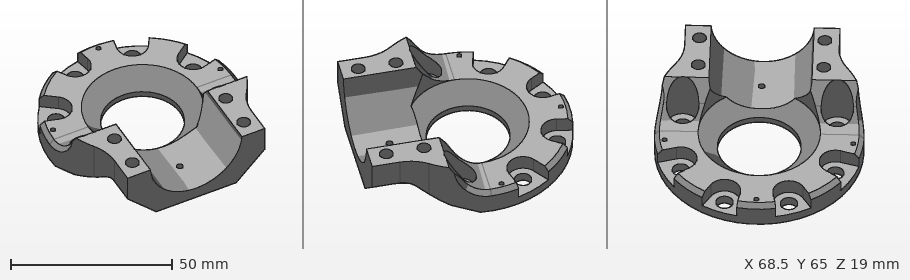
import cadquery as cq
import math

height = 19.0
length = 68.5
ring_diameter = 65.0
ring_radius = ring_diameter / 2
arm_end_x = length - ring_radius
plate_top = 8.0
edge_chamfer = 1.5

arm_half_width = 24.0
blend_radius = 15.0

ramp_angle = 55.0
ramp_radius = 10.0

bore_radius = 13.0
bore_rim_radius = 19.0

trough_radius = 16.0
trough_axis_z = 20.0
trough_pin_x = 25.0
trough_pin_radius = 1.0

bolt_radius = 2.7
seat_radius = 5.0
seat_floor = 3.0
slot_flare = 10.0
slot_bolts = [(-12.0, 24.0), (-26.0, 10.0)]
ramp_bolt = (8.0, 24.0)
arm_bolts = [(18.5, 19.45), (30.5, 19.45)]
arm_bolt_radius = 2.1

pin_radius = 0.75
pin_circle = 29.5
pin_angles = (97.6, 180.0, 262.4)

relief_height = 10.0
relief_start = (3.4, 32.3)
relief_bend = (10.4, 27.95)
relief_turn = (14.8, 21.1)
relief_bow = 0.4
relief_end_x = 27.0

margin = 6.85


def cylinder(radius, bottom, top, x=0.0, y=0.0):
    return cq.Workplane("XY", origin=(x, y, bottom)).circle(radius).extrude(top - bottom)


def through_hole(x, y, radius):
    return cylinder(radius, -margin, height + margin, x, y)


def both_sides(points):
    return [(x, side * y) for x, y in points for side in (1, -1)]


def body_outline():
    """Ring joined to two straight arm sides by tangent concave arcs."""
    center_y = arm_half_width + blend_radius
    center_distance = ring_radius + blend_radius
    center_x = math.sqrt(center_distance**2 - center_y**2)
    joint_x = center_x * ring_radius / center_distance
    joint_y = center_y * ring_radius / center_distance
    half_sweep = math.atan2(center_x, center_y) / 2
    mid_x = center_x - blend_radius * math.sin(half_sweep)
    mid_y = center_y - blend_radius * math.cos(half_sweep)
    return (
        cq.Workplane("XY")
        .moveTo(arm_end_x, -arm_half_width)
        .lineTo(arm_end_x, arm_half_width)
        .lineTo(center_x, arm_half_width)
        .threePointArc((mid_x, mid_y), (joint_x, joint_y))
        .threePointArc((-ring_radius, 0), (joint_x, -joint_y))
        .threePointArc((mid_x, -mid_y), (center_x, -arm_half_width))
        .close()
    )


def side_extrude(profile):
    """Extrude an XZ profile across the full width of the part."""
    return profile.extrude(ring_radius + margin, both=True)


def step_space():
    """Space above the plate, rounded into a vertical wall."""
    left = -ring_radius - margin
    diagonal = ramp_radius * math.sqrt(0.5)
    profile = (
        cq.Workplane("XZ")
        .moveTo(left, plate_top)
        .lineTo(0, plate_top)
        .threePointArc((diagonal, plate_top + ramp_radius - diagonal), (ramp_radius, plate_top + ramp_radius))
        .lineTo(ramp_radius, height + margin)
        .lineTo(left, height + margin)
        .close()
    )
    return side_extrude(profile)


def slope_space():
    """Space above the straight slope that leaves the rounded step tangentially."""
    angle = math.radians(ramp_angle)
    arc_end_x = ramp_radius * math.sin(angle)
    arc_end_z = plate_top + ramp_radius * (1 - math.cos(angle))
    top_z = height + margin
    top_x = arc_end_x + (top_z - arc_end_z) / math.tan(angle)
    profile = (
        cq.Workplane("XZ")
        .moveTo(arc_end_x, arc_end_z)
        .lineTo(top_x, top_z)
        .lineTo(arc_end_x, top_z)
        .close()
    )
    return side_extrude(profile)


def relief_keep():
    """Material left by the relief: widens by 45 degrees from its lower edge."""
    slope = (relief_start[1] - relief_bend[1]) / (relief_bend[0] - relief_start[0])
    far_left = -ring_radius - margin
    far_right = arm_end_x + margin
    side_y = relief_start[1] + margin
    side_x = relief_start[0] - margin / slope
    chord_x = relief_turn[0] - relief_bend[0]
    chord_y = relief_turn[1] - relief_bend[1]
    chord = math.hypot(chord_x, chord_y)
    bow_x = (relief_bend[0] + relief_turn[0]) / 2 - relief_bow * chord_y / chord
    bow_y = (relief_bend[1] + relief_turn[1]) / 2 + relief_bow * chord_x / chord
    arm_y = arm_half_width - relief_height
    run = relief_end_x - relief_turn[0]
    rise = relief_turn[1] - arm_y
    arc_radius = (run**2 + rise**2) / (2 * rise)
    half_sweep = math.asin(run / arc_radius) / 2
    mid_x = relief_end_x - arc_radius * math.sin(half_sweep)
    mid_y = arm_y + arc_radius * (1 - math.cos(half_sweep))
    return (
        cq.Workplane("XY")
        .moveTo(far_right, -arm_y)
        .lineTo(far_right, arm_y)
        .lineTo(relief_end_x, arm_y)
        .threePointArc((mid_x, mid_y), relief_turn)
        .threePointArc((bow_x, bow_y), relief_bend)
        .lineTo(side_x, side_y)
        .lineTo(far_left, side_y)
        .lineTo(far_left, -side_y)
        .lineTo(side_x, -side_y)
        .lineTo(relief_bend[0], -relief_bend[1])
        .threePointArc((bow_x, -bow_y), (relief_turn[0], -relief_turn[1]))
        .threePointArc((mid_x, -mid_y), (relief_end_x, -arm_y))
        .close()
        .extrude(relief_height, taper=-45)
    )


def bore():
    """Stepped bore, open upwards at the rim radius."""
    cone_bottom = plate_top - (bore_rim_radius - bore_radius)
    return (
        cq.Workplane("XZ")
        .moveTo(0, -margin)
        .lineTo(bore_radius, -margin)
        .lineTo(bore_radius, cone_bottom)
        .lineTo(bore_rim_radius, plate_top)
        .lineTo(bore_rim_radius, height + margin)
        .lineTo(0, height + margin)
        .close()
        .revolve(360, (0, 0, 0), (0, 1, 0))
    )


def trough():
    return (
        cq.Workplane("YZ")
        .center(0, trough_axis_z)
        .circle(trough_radius)
        .extrude(arm_end_x + margin)
    )


def bolt_slot(x, y):
    """Round seat that flares open towards the ring's edge."""
    flare = math.radians(slot_flare)
    tangent_x = -seat_radius * math.sin(flare)
    tangent_y = seat_radius * math.cos(flare)
    reach = ring_radius / 2
    end_y = tangent_y + (reach - tangent_x) * math.tan(flare)
    return (
        cq.Workplane("XY")
        .moveTo(tangent_x, -tangent_y)
        .threePointArc((-seat_radius, 0), (tangent_x, tangent_y))
        .lineTo(reach, end_y)
        .lineTo(reach, -end_y)
        .close()
        .extrude(height)
        .rotate((0, 0, 0), (0, 0, 1), math.degrees(math.atan2(y, x)))
        .translate((x, y, seat_floor))
    )


stepped_body = body_outline().extrude(height).cut(step_space())
rim_edges = cq.selectors.BoxSelector(
    (-ring_radius - margin, -ring_radius - margin, plate_top - 0.7),
    (ramp_radius + 0.7, ring_radius + margin, height),
)
result = stepped_body.edges(rim_edges).chamfer(edge_chamfer).cut(slope_space())

upper = cq.Workplane("XY", origin=(0, 0, relief_height)).rect(2 * length, 2 * length).extrude(height)
result = result.intersect(relief_keep().union(upper))

result = result.cut(bore()).cut(trough())

for x, y in both_sides(slot_bolts):
    result = result.cut(bolt_slot(x, y))
for x, y in both_sides([ramp_bolt]):
    result = result.cut(cylinder(seat_radius, seat_floor, height + margin, x, y))
for x, y in both_sides(slot_bolts + [ramp_bolt]):
    result = result.cut(through_hole(x, y, bolt_radius))
for x, y in both_sides(arm_bolts):
    result = result.cut(through_hole(x, y, arm_bolt_radius))

for angle in pin_angles:
    pin_x = pin_circle * math.cos(math.radians(angle))
    pin_y = pin_circle * math.sin(math.radians(angle))
    result = result.cut(through_hole(pin_x, pin_y, pin_radius))
result = result.cut(through_hole(trough_pin_x, 0, trough_pin_radius))